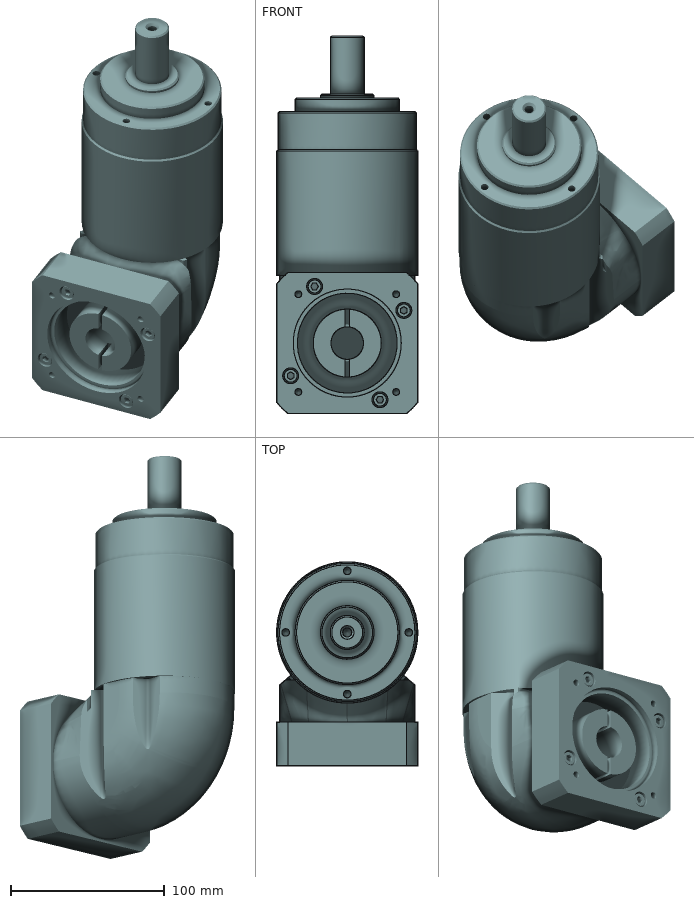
import cadquery as cq
import math

shaft_top = 199.8
shaft_radius = 11.0
collar_top = 162.0
collar_radius = 17.5
pilot_top = 159.5
pilot_radius = 34.0
head_top = 150.7
head_radius = 45.0
body_top = 125.8
body_radius = 46.0
edge_break = 1.0
drill_point_angle = 118.0
holes_per_ring = 4

head_hole_circle = 40.0
head_hole_radius = 2.5
head_hole_depth = 12.3
center_hole_radius = 3.0
center_hole_mouth = 4.5
center_hole_depth = 19.7

tube_radius = 44.0
elbow_outer_radius = 77.0
bend_radius = elbow_outer_radius - tube_radius
bend_axis_y = body_radius - elbow_outer_radius
bend_axis_z = bend_radius
elbow_top = tube_radius
blend_corner_radius = 17.2
inner_corner_chamfer = 7.4
blend_arc_start = -90.0
blend_arc_ends = (0.0, 35.0, 55.0, 90.0)

groove_length = 98.3
groove_reach = 29.5
groove_root_radius = 3.0
front_groove = (31.0, -22.9, -1.0, 40.0)
rear_groove = (33.5, 18.0, 28.0, 57.0)

flange_front = -86.8
flange_thickness = 28.5
flange_back = flange_front + flange_thickness
flange_side = 92.0
flange_corner_radius = 60.0
register_radius = 35.1
register_depth = 5.0
recess_radius = 32.5
recess_depth = 24.5

hub_radius = 22.0
hub_setback = 6.1
bore_radius = 10.5
bore_depth = 39.3
slit_width = 2.7
slit_depth = 14.7

tapped_hole_circle = 45.0
tapped_first_angle = 45.0
tapped_hole_radius = 2.2
tapped_hole_depth = 14.7
screw_circle = 42.5
screw_first_angle = 30.0
screw_pocket_radius = 5.2
screw_pocket_depth = 6.1
screw_head_radius = 4.2
screw_head_setback = 1.0
socket_across_corners = 5.0
socket_depth = 3.0


def upright(radius, bottom, top):
    """Round on the vertical axis."""
    return cq.Workplane("XY").workplane(offset=bottom).circle(radius).extrude(top - bottom)


def motor_plane(setback=0.0):
    """Plane parallel to the flange face, a setback behind it; extruding negatively goes into the part."""
    return cq.Workplane("XZ", origin=(0, flange_front + setback, 0))


def bore_in(setback, radius, depth):
    """Round on the motor axis that starts a setback behind the flange face."""
    return motor_plane(setback).circle(radius).extrude(-depth)


def drill(radius, depth):
    """Blind hole along -Z from the origin, ending in a drill point."""
    point_length = radius / math.tan(math.radians(drill_point_angle / 2))
    return (
        cq.Workplane("XZ")
        .polyline([(0, 0), (radius, 0), (radius, -depth), (0, -depth - point_length)])
        .close()
        .revolve(360, (0, 0), (0, 1))
    )


def drill_ring(circle_radius, first_angle, radius, depth):
    """Drilled holes along -Z, evenly spaced on a circle around the origin."""
    hole = drill(radius, depth).val()
    return cq.Workplane("XY").polarArray(circle_radius, first_angle, 360, holes_per_ring).eachpoint(hole)


def make_output_side():
    rounds = upright(body_radius, elbow_top, body_top).faces(">Z").chamfer(edge_break)
    steps = [
        (head_radius, body_top, head_top),
        (pilot_radius, head_top, pilot_top),
        (collar_radius, pilot_top, collar_top),
        (shaft_radius, collar_top, shaft_top),
    ]
    for radius, bottom, top in steps:
        rounds = rounds.union(upright(radius, bottom, top).faces(">Z").chamfer(edge_break))
    head_holes = drill_ring(head_hole_circle, 0, head_hole_radius, head_hole_depth)
    head_holes = head_holes.translate((0, 0, head_top))
    center_hole = drill(center_hole_radius, center_hole_depth).translate((0, 0, shaft_top))
    countersink = (
        cq.Workplane("XY").workplane(offset=shaft_top)
        .circle(center_hole_mouth).extrude(center_hole_radius - center_hole_mouth, taper=45)
    )
    return rounds.cut(head_holes).cut(center_hole).cut(countersink)


def make_groove(root_x, root_y, direction, half_angle):
    """V-shaped cutter with a rounded root, running vertically through one elbow side."""
    ends = []
    for angle in (direction - half_angle, direction + half_angle):
        slope = math.radians(angle)
        ends.append((root_x + groove_reach * math.cos(slope), root_y + groove_reach * math.sin(slope)))
    cutter = (
        cq.Workplane("XY").workplane(offset=elbow_top)
        .polyline([(root_x, root_y)] + ends).close().extrude(-groove_length)
    )
    root_middle = (root_x, root_y, elbow_top - groove_length / 2)
    return cutter.edges(cq.NearestToPointSelector(root_middle)).fillet(groove_root_radius)


def elbow_section():
    """Section where the bend meets the body: half round outside, chamfered square towards the bend axis."""
    narrow_side = tube_radius - inner_corner_chamfer
    return (
        cq.Workplane("XY", origin=(0, bend_axis_y, bend_axis_z))
        .moveTo(-narrow_side, 0)
        .lineTo(-tube_radius, inner_corner_chamfer)
        .lineTo(-tube_radius, bend_radius)
        .threePointArc((0, elbow_outer_radius), (tube_radius, bend_radius))
        .lineTo(tube_radius, inner_corner_chamfer)
        .lineTo(narrow_side, 0)
        .close()
    )


def on_circle(radius, degrees):
    """Point on a circle around the origin of the sketch."""
    angle = math.radians(degrees)
    return (radius * math.cos(angle), radius * math.sin(angle))


def make_motor_tube():
    """Blend from the square-topped end of the bend to the round tube behind the flange."""
    flat = tube_radius - blend_corner_radius
    corner_x, corner_y = on_circle(blend_corner_radius, 45)
    outline = (
        cq.Workplane("XZ", origin=(0, bend_axis_y, 0))
        .moveTo(0, -tube_radius)
        .threePointArc(on_circle(tube_radius, -45), (tube_radius, 0))
        .lineTo(tube_radius, flat)
        .threePointArc((flat + corner_x, flat + corner_y), (flat, tube_radius))
        .lineTo(0, tube_radius)
        .close()
        .workplane(offset=bend_axis_y - flange_back)
        .moveTo(0, -tube_radius)
    )
    start = blend_arc_start
    for end in blend_arc_ends:
        middle = (start + end) / 2
        outline = outline.threePointArc(on_circle(tube_radius, middle), on_circle(tube_radius, end))
        start = end
    half = outline.close().loft(ruled=True)
    return half.union(half.mirror("YZ"))


def make_elbow():
    bend = elbow_section().revolve(90, (0, 0), (-1, 0))
    upper_tube = elbow_section().extrude(elbow_top - bend_axis_z)
    elbow = bend.union(upper_tube).union(make_motor_tube())
    for groove in (front_groove, rear_groove):
        cutter = make_groove(*groove)
        elbow = elbow.cut(cutter).cut(cutter.mirror("YZ"))
    return elbow


def make_flange():
    plate = motor_plane().rect(flange_side, flange_side).extrude(-flange_thickness)
    return plate.intersect(bore_in(0, flange_corner_radius, flange_thickness))


def make_hub_recess():
    """Space around the clamping hub, with the hub's bore and clamping slit."""
    space = bore_in(0, register_radius, register_depth).union(bore_in(0, recess_radius, recess_depth))
    space = space.cut(bore_in(hub_setback, hub_radius, recess_depth - hub_setback))
    slit = motor_plane(hub_setback).rect(slit_width, 2 * hub_radius).extrude(-slit_depth)
    return space.union(bore_in(hub_setback, bore_radius, bore_depth)).union(slit)


def make_flange_holes():
    tapped = drill_ring(tapped_hole_circle, tapped_first_angle, tapped_hole_radius, tapped_hole_depth)
    tapped = tapped.rotate((0, 0, 0), (1, 0, 0), 90).translate((0, flange_front, 0))
    pockets = (
        motor_plane().polarArray(screw_circle, screw_first_angle, 360, holes_per_ring)
        .circle(screw_pocket_radius).extrude(-screw_pocket_depth)
    )
    heads = (
        motor_plane(screw_head_setback).polarArray(screw_circle, screw_first_angle, 360, holes_per_ring)
        .circle(screw_head_radius).extrude(screw_head_setback - screw_pocket_depth)
    )
    sockets = (
        motor_plane(screw_head_setback).polarArray(screw_circle, screw_first_angle, 360, holes_per_ring)
        .polygon(6, socket_across_corners).extrude(-socket_depth)
    )
    return pockets.cut(heads).union(sockets).union(tapped)


result = (
    make_output_side()
    .union(make_elbow())
    .union(make_flange())
    .cut(make_hub_recess())
    .cut(make_flange_holes())
)